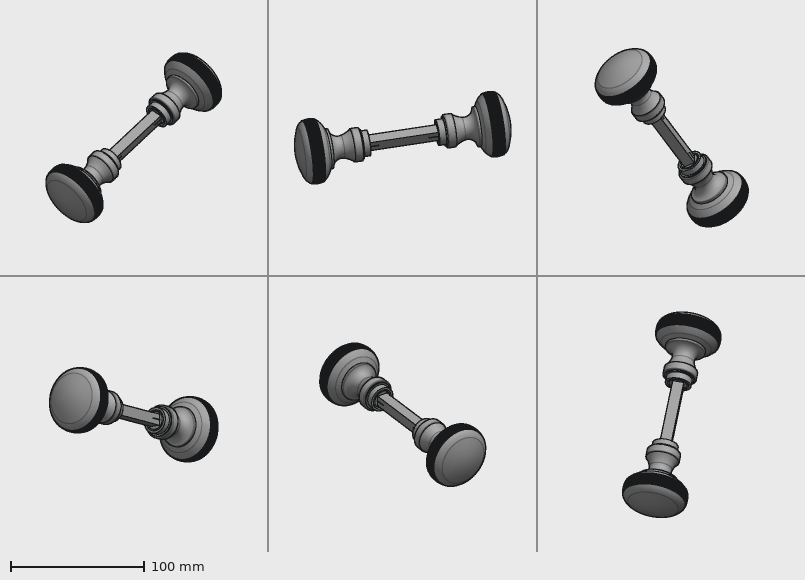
import cadquery as cq
import math


sleeve_tip = 26.5
flange_start = 31.5
collar_start = 32.5
collar_end = 38.9
throat_reach = 48.3
bead_start = 55.6
head_start = 57.6
back_line_reach = 59.7
band_start = 64.2
band_end = 73.7
cap_reach = 78.0
head_tip = 82.0

collar_radius = 12.8
bead_radius = 15.3
throat_radius = 8.5
edge_round = 0.5
spigot_radius = 6.9
waist_reach = 46.3
waist_mid_reach = 42.3
waist_mid_radius = 10.2

sleeve_radius = 9.8
sleeve_bore_radius = 8.0
flange_radius = 11.3

head_diameter = 49.4
crest_radius = head_diameter / 2
band_edge_radius = 24.0
cap_radius = 19.2
shoulder_mid_radius = 22.2
back_mid_reach = 62.0
front_mid_reach = 76.0
groove_count = 8
groove_depth = 0.5

spindle_width = 8.5
spindle_half_length = 49.2
slit_start = 19.4
slit_width = 0.5


def turn(profile):
    """Revolve a closed radius-reach profile about the Y axis."""
    return profile.close().revolve(360, (0, 0, 0), (0, 1, 0))


def arc_bulge(chord_half, radius):
    """Height of an arc of the given radius above its chord."""
    return radius - math.sqrt(radius**2 - chord_half**2)


def square_bar(start, end):
    """Bar with the spindle's square section, between two reaches."""
    return cq.Workplane("XY").box(
        spindle_width, end - start, spindle_width
    ).translate((0, (start + end) / 2, 0))


def make_spindle():
    spindle = square_bar(-spindle_half_length, spindle_half_length)
    slit_length = spindle_half_length - slit_start
    slit_middle = slit_start + slit_length / 2
    for side in (-1, 1):
        slit = cq.Workplane("XY").box(spindle_width, slit_length, slit_width)
        spindle = spindle.cut(slit.translate((0, side * slit_middle, 0)))
    return spindle


def make_sleeve():
    return turn(
        cq.Workplane("XY")
        .moveTo(sleeve_bore_radius, sleeve_tip)
        .lineTo(sleeve_radius, sleeve_tip)
        .lineTo(sleeve_radius, flange_start)
        .lineTo(flange_radius, flange_start)
        .lineTo(flange_radius, collar_start)
        .lineTo(sleeve_bore_radius, collar_start)
    )


def make_neck():
    """Spigot, collar, waisted stem and bead, with a blind square hole for the spindle."""
    bead_face_radius = bead_radius - edge_round
    flare_rise = bead_face_radius - throat_radius
    flare_run = bead_start - throat_reach
    flare_radius = (flare_rise**2 + flare_run**2) / (2 * flare_rise)
    waist_radius = throat_radius + arc_bulge(throat_reach - waist_reach, flare_radius)

    corner_inset = edge_round * (1 - math.sqrt(0.5))
    neck = turn(
        cq.Workplane("XY")
        .moveTo(0, sleeve_tip)
        .lineTo(spigot_radius, sleeve_tip)
        .lineTo(spigot_radius, collar_start)
        .lineTo(collar_radius - edge_round, collar_start)
        .threePointArc(
            (collar_radius - corner_inset, collar_start + corner_inset),
            (collar_radius, collar_start + edge_round),
        )
        .lineTo(collar_radius, collar_end - edge_round)
        .threePointArc(
            (collar_radius - corner_inset, collar_end - corner_inset),
            (collar_radius - edge_round, collar_end),
        )
        .threePointArc((waist_mid_radius, waist_mid_reach), (waist_radius, waist_reach))
        .threePointArc((throat_radius, throat_reach), (bead_face_radius, bead_start))
        .threePointArc(
            (bead_radius - corner_inset, bead_start + corner_inset),
            (bead_radius, bead_start + edge_round),
        )
        .lineTo(bead_radius, head_start)
        .lineTo(0, head_start)
    )
    return neck.cut(square_bar(sleeve_tip, spindle_half_length))


def band_radius(reach):
    """Radius of the gently crowned band at the given reach."""
    half_width = (band_end - band_start) / 2
    offset = (reach - (band_start + band_end) / 2) / half_width
    return crest_radius - (crest_radius - band_edge_radius) * offset**2


def make_head():
    """Domed head with fine grooves running round its widest part."""
    cap_height = head_tip - cap_reach
    dome_radius = (cap_radius**2 + cap_height**2) / (2 * cap_height)
    dome_mid_radius = cap_radius / 2
    dome_mid_reach = head_tip - arc_bulge(dome_mid_radius, dome_radius)

    strip_width = (band_end - band_start) / (2 * groove_count + 1)
    profile = (
        cq.Workplane("XY")
        .moveTo(0, head_start)
        .lineTo(bead_radius, head_start)
        .lineTo(cap_radius, back_line_reach)
        .threePointArc((shoulder_mid_radius, back_mid_reach), (band_edge_radius, band_start))
    )
    for groove in range(groove_count):
        groove_start = band_start + (2 * groove + 1) * strip_width
        groove_end = groove_start + strip_width
        profile = (
            profile.lineTo(band_radius(groove_start), groove_start)
            .lineTo(band_radius(groove_start) - groove_depth, groove_start)
            .lineTo(band_radius(groove_end) - groove_depth, groove_end)
            .lineTo(band_radius(groove_end), groove_end)
        )
    return turn(
        profile.lineTo(band_edge_radius, band_end)
        .threePointArc((shoulder_mid_radius, front_mid_reach), (cap_radius, cap_reach))
        .threePointArc((dome_mid_radius, dome_mid_reach), (0, head_tip))
    )


bodies = [make_spindle().val()]
for make_body in (make_sleeve, make_neck, make_head):
    for turn_angle in (0, 180):
        bodies.append(make_body().rotate((0, 0, 0), (0, 0, 1), turn_angle).val())

result = cq.Compound.makeCompound(bodies)